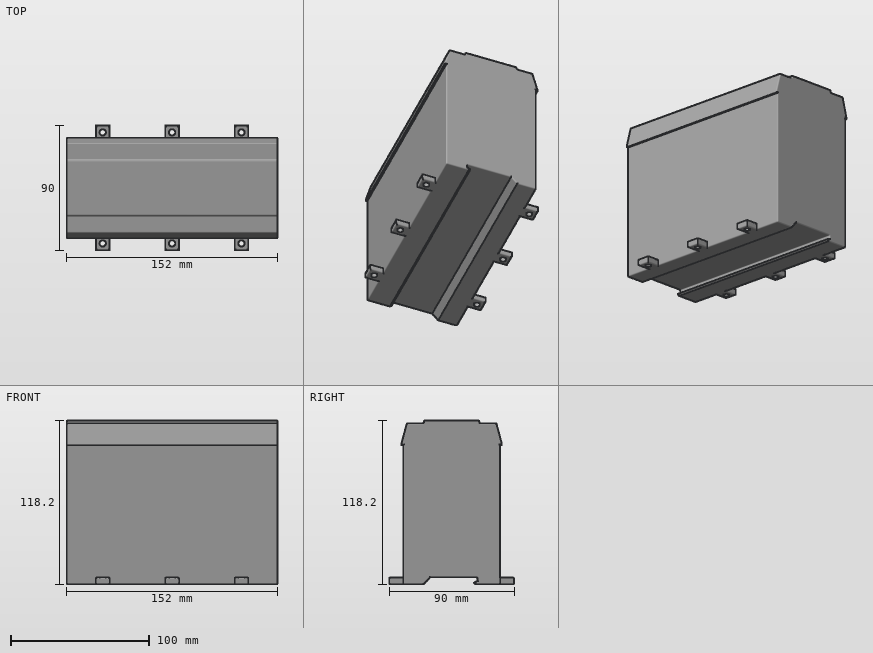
import cadquery as cq
import math

LENGTH = 152.0
HEIGHT = 118.2
TAB_SPAN = 90.0
EDGE_RADIUS = 1.0
END_RADIUS = 0.95

BODY_HALF = 35.0
CAP_HALF = 36.3
CAP_HEIGHT = 18.0
CAP_BASE_Z = HEIGHT - CAP_HEIGHT
CAP_LIP = 1.1
CREST_STEP = 2 * EDGE_RADIUS
SHOULDER_Z = HEIGHT - CREST_STEP
CAP_SLOPE = 15.0
SHOULDER_HALF = CAP_HALF - (CAP_HEIGHT - CREST_STEP - CAP_LIP) * math.tan(math.radians(CAP_SLOPE))
CREST_HALF = 20.0

RECESS_DEPTH = 5.0
HOOK_WALL_Y = 18.5
HOOK_TIP_Y = 16.0
HOOK_WALL_BASE_Z = 2.6
HOOK_TIP_Z = 1.2
HOOK_FOOT_Y = 17.4
RECESS_CORNER_RADIUS = 0.5
RAMP_TOP_Y = -15.5
RAMP_BASE_Y = -20.2

TAB_PITCH = 50.0
TABS_PER_SIDE = 3
TAB_WIDTH = 10.0
TAB_THICKNESS = 5.0
TAB_HOLE_DIAMETER = 4.4
TAB_HOLE_Y = 40.0
TAB_ROOT = 2.0


def make_profile():
    """Housing cross-section in the YZ plane, with the crest steps drawn as tangent arcs."""
    lip_top = CAP_BASE_Z + CAP_LIP
    crest_edge = CREST_HALF - EDGE_RADIUS
    step_foot = CREST_HALF + EDGE_RADIUS
    step_middle = (CREST_HALF, SHOULDER_Z + EDGE_RADIUS)
    return (
        cq.Workplane("YZ")
        .moveTo(BODY_HALF, 0)
        .lineTo(BODY_HALF, CAP_BASE_Z)
        .lineTo(CAP_HALF, CAP_BASE_Z)
        .lineTo(CAP_HALF, lip_top)
        .lineTo(SHOULDER_HALF, SHOULDER_Z)
        .lineTo(step_foot, SHOULDER_Z)
        .radiusArc(step_middle, EDGE_RADIUS)
        .radiusArc((crest_edge, HEIGHT), -EDGE_RADIUS)
        .lineTo(-crest_edge, HEIGHT)
        .radiusArc((-CREST_HALF, step_middle[1]), -EDGE_RADIUS)
        .radiusArc((-step_foot, SHOULDER_Z), EDGE_RADIUS)
        .lineTo(-SHOULDER_HALF, SHOULDER_Z)
        .lineTo(-CAP_HALF, lip_top)
        .lineTo(-CAP_HALF, CAP_BASE_Z)
        .lineTo(-BODY_HALF, CAP_BASE_Z)
        .lineTo(-BODY_HALF, 0)
        .lineTo(RAMP_BASE_Y, 0)
        .lineTo(RAMP_TOP_Y, RECESS_DEPTH)
        .lineTo(HOOK_WALL_Y, RECESS_DEPTH)
        .lineTo(HOOK_WALL_Y, HOOK_WALL_BASE_Z)
        .lineTo(HOOK_TIP_Y, HOOK_TIP_Z)
        .lineTo(HOOK_FOOT_Y, 0)
        .close()
    )


def make_housing():
    """Extruded housing with rounded long edges and rounded end faces."""
    housing = make_profile().extrude(LENGTH / 2, both=True)
    rounded_corners = [
        (BODY_HALF, 0, EDGE_RADIUS),
        (-BODY_HALF, 0, EDGE_RADIUS),
        (SHOULDER_HALF, SHOULDER_Z, EDGE_RADIUS),
        (-SHOULDER_HALF, SHOULDER_Z, EDGE_RADIUS),
        (HOOK_WALL_Y, RECESS_DEPTH, RECESS_CORNER_RADIUS),
    ]
    for y, z, radius in rounded_corners:
        corner = cq.selectors.NearestToPointSelector((0, y, z))
        housing = housing.edges("|X").edges(corner).fillet(radius)
    return housing.faces("<X or >X").edges().fillet(END_RADIUS)


def make_tab():
    """Front (-Y) mounting tab at X = 0, with its free edges rounded."""
    inner_y = -(BODY_HALF - TAB_ROOT)
    outer_y = -TAB_SPAN / 2
    tab = cq.Workplane("XY").box(TAB_WIDTH, inner_y - outer_y, TAB_THICKNESS, centered=(True, False, False))
    tab = tab.translate((0, outer_y, 0))
    tab = tab.faces("<Z or >Z").edges("|Y or <Y").fillet(EDGE_RADIUS)
    hole = cq.Workplane("XY").center(0, -TAB_HOLE_Y).circle(TAB_HOLE_DIAMETER / 2).extrude(TAB_THICKNESS)
    return tab.cut(hole)


result = make_housing()
front_tab = make_tab()
for index in range(TABS_PER_SIDE):
    tab_x = (index - (TABS_PER_SIDE - 1) / 2) * TAB_PITCH
    result = result.union(front_tab.translate((tab_x, 0, 0)))
    result = result.union(front_tab.mirror("XZ").translate((tab_x, 0, 0)))